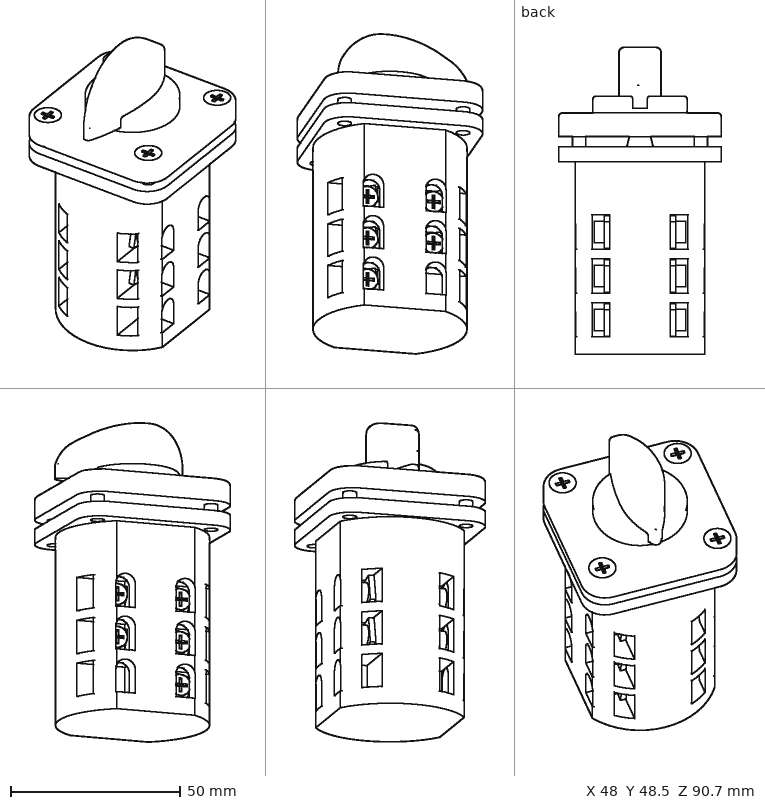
import cadquery as cq
import math

PLATE_SIDE = 48.0
PLATE_CORNER_RADIUS = 7.3
LOWER_PLATE_BOTTOM = 56.9
LOWER_PLATE_TOP = 61.3
PANEL_BOTTOM = 64.3
PANEL_TOP = 71.3
PANEL_EDGE_RADIUS = 1.1

BARREL_RADIUS = 22.8
FLAT_DISTANCE = 19.15
SPINDLE_BASE_RADIUS = 3.9
SPINDLE_TOP_RADIUS = 3.2

LEVEL_BOTTOMS = [5.2 + level * 13.0 for level in range(3)]
CHAMBER_HEIGHT = 10.1
CHAMBER_INNER_X = 8.9
WINDOW_OUTER_X = 14.2
WINDOW_INNER_Y = 5.8
POCKET_INNER_Y = 6.4
POCKET_OUTER_Y = 12.5

CLAMP_SIDE = 8.0
CLAMP_OUTER_X = 10.6
CLAMP_TILT = 13.0
TERMINAL_Y = 10.0
TERMINAL_HEAD_RADIUS = 3.2
TERMINAL_HEAD_OUTER_X = 13.5

CROSS_LENGTH = 4.2
CROSS_WIDTH = 0.8
CROSS_DEPTH = 0.6
CROSS_TAPER = 30.0

SCREW_SPACING = 35.9
SCREW_HEAD_RADIUS = 4.0
SCREW_HEAD_HEIGHT = 3.0
SCREW_SHANK_RADIUS = 2.0

KNOB_BASE_RADIUS = 14.0
KNOB_BASE_TOP = 76.3
KNOB_BASE_EDGE_RADIUS = 1.1
HANDLE_BOTTOM = 72.7
HANDLE_TOP = 90.7
HANDLE_HALF_WIDTH = 6.3
HANDLE_EDGE_RADIUS = 1.45
LEAF_BACK_Y = 16.6
LEAF_FRONT_Y = -26.4
HUMP_BACK_RADIUS = 12.1
HUMP_PEAK_Y = 3.7
HUMP_SHOULDER = (-16.2, 85.5)
HUMP_NOSE = (-21.5, 81.85)
HUMP_FRONT = (-25.0, 74.4)


def plate(bottom, top):
    """A square plate with rounded corners between two heights."""
    blank = cq.Workplane("XY", origin=(0, 0, bottom)).rect(PLATE_SIDE, PLATE_SIDE).extrude(top - bottom)
    return blank.edges("|Z").fillet(PLATE_CORNER_RADIUS)


def cross_recess(face):
    """A tapered cross sunk below the given workplane."""
    arm = face.rect(CROSS_LENGTH, CROSS_WIDTH).extrude(-CROSS_DEPTH, taper=CROSS_TAPER)
    other_arm = face.rect(CROSS_WIDTH, CROSS_LENGTH).extrude(-CROSS_DEPTH, taper=CROSS_TAPER)
    return arm.union(other_arm)


def mirrored_to(shape, side_x, side_y):
    """Moves a shape from the +X, +Y corner to the corner with the given signs."""
    if side_x < 0:
        shape = shape.mirror("YZ")
    if side_y < 0:
        shape = shape.mirror("XZ")
    return shape


def chamber(bottom):
    """An arched pocket from the +X flat that meets a rectangular window from the +Y side."""
    top = bottom + CHAMBER_HEIGHT
    arch_radius = (POCKET_OUTER_Y - POCKET_INNER_Y) / 2
    pocket = (
        cq.Workplane("YZ", origin=(CHAMBER_INNER_X, 0, 0))
        .moveTo(POCKET_INNER_Y, bottom)
        .lineTo(POCKET_OUTER_Y, bottom)
        .lineTo(POCKET_OUTER_Y, top - arch_radius)
        .threePointArc((POCKET_INNER_Y + arch_radius, top), (POCKET_INNER_Y, top - arch_radius))
        .close()
        .extrude(BARREL_RADIUS - CHAMBER_INNER_X)
    )
    window = cq.Workplane("XY").box(
        WINDOW_OUTER_X - CHAMBER_INNER_X,
        BARREL_RADIUS - WINDOW_INNER_Y,
        CHAMBER_HEIGHT,
        centered=False,
    )
    return pocket.union(window.translate((CHAMBER_INNER_X, WINDOW_INNER_Y, bottom)))


def terminal(side_x, side_y, bottom):
    """A clamp plate on the inner chamber wall, with its screw head facing outwards."""
    centre = cq.Vector(CHAMBER_INNER_X, side_y * TERMINAL_Y, bottom + CHAMBER_HEIGHT / 2)
    base = cq.Workplane("YZ", origin=centre.toTuple())
    clamp = base.rect(CLAMP_SIDE, CLAMP_SIDE).extrude(CLAMP_OUTER_X - CHAMBER_INNER_X)
    clamp = clamp.rotate(centre, centre + cq.Vector(0.9, 0, 0), -CLAMP_TILT)
    head_reach = TERMINAL_HEAD_OUTER_X - CHAMBER_INNER_X
    head = base.circle(TERMINAL_HEAD_RADIUS).extrude(head_reach)
    head = head.cut(cross_recess(base.workplane(offset=head_reach)))
    return mirrored_to(clamp.union(head), side_x, 1)


def make_housing():
    """Barrel, lower plate, spindle and terminals."""
    barrel = cq.Workplane("XY").circle(BARREL_RADIUS).extrude(LOWER_PLATE_BOTTOM)
    flats = cq.Workplane("XY").rect(2 * FLAT_DISTANCE, 2 * BARREL_RADIUS).extrude(LOWER_PLATE_BOTTOM)
    body = barrel.intersect(flats)
    for level, bottom in enumerate(LEVEL_BOTTOMS):
        for side_x in (-1, 1):
            for side_y in (-1, 1):
                body = body.cut(mirrored_to(chamber(bottom), side_x, side_y))
                if level > 0 or side_y > 0:
                    body = body.union(terminal(side_x, side_y, bottom))
    spindle = (
        cq.Workplane("XY", origin=(0, 0, LOWER_PLATE_TOP))
        .circle(SPINDLE_BASE_RADIUS)
        .workplane(offset=PANEL_BOTTOM - LOWER_PLATE_TOP)
        .circle(SPINDLE_TOP_RADIUS)
        .loft()
    )
    return body.union(plate(LOWER_PLATE_BOTTOM, LOWER_PLATE_TOP)).union(spindle)


def screw_blank():
    """A panel screw on the Z axis, without its cross recess."""
    shank = (
        cq.Workplane("XY", origin=(0, 0, LOWER_PLATE_BOTTOM))
        .circle(SCREW_SHANK_RADIUS)
        .extrude(PANEL_TOP - LOWER_PLATE_BOTTOM)
    )
    head = cq.Workplane("XY", origin=(0, 0, PANEL_TOP)).circle(SCREW_HEAD_RADIUS).extrude(-SCREW_HEAD_HEIGHT)
    return shank.union(head)


def bulge_middle(end_y):
    """Midpoint of the arc that starts at the handle's widest place, along Y, and ends at (0, end_y)."""
    radius = (end_y**2 + HANDLE_HALF_WIDTH**2) / (2 * HANDLE_HALF_WIDTH)
    half_angle = math.asin(end_y / radius) / 2
    return HANDLE_HALF_WIDTH - radius * (1 - math.cos(half_angle)), radius * math.sin(half_angle)


def handle_leaf():
    """The leaf-shaped plan of the handle, with both ends rounded."""
    back_x, back_y = bulge_middle(LEAF_BACK_Y)
    front_x, front_y = bulge_middle(LEAF_FRONT_Y)
    leaf = (
        cq.Workplane("XY", origin=(0, 0, HANDLE_BOTTOM))
        .moveTo(0, LEAF_BACK_Y)
        .threePointArc((back_x, back_y), (HANDLE_HALF_WIDTH, 0))
        .threePointArc((front_x, front_y), (0, LEAF_FRONT_Y))
        .threePointArc((-front_x, front_y), (-HANDLE_HALF_WIDTH, 0))
        .threePointArc((-back_x, back_y), (0, LEAF_BACK_Y))
        .close()
        .extrude(HANDLE_TOP + HANDLE_EDGE_RADIUS - HANDLE_BOTTOM)
    )
    return leaf.edges("|Z and (<Y or >Y)").fillet(HANDLE_EDGE_RADIUS)


def handle_hump():
    """The side outline of the handle, wider than the leaf and reaching below it."""
    back_y = HUMP_PEAK_Y + HUMP_BACK_RADIUS
    back_centre_z = HANDLE_TOP - HUMP_BACK_RADIUS
    diagonal = HUMP_BACK_RADIUS * math.sqrt(0.5)
    return (
        cq.Workplane("YZ")
        .moveTo(back_y, PANEL_TOP)
        .lineTo(back_y, back_centre_z)
        .threePointArc((HUMP_PEAK_Y + diagonal, back_centre_z + diagonal), (HUMP_PEAK_Y, HANDLE_TOP))
        .tangentArcPoint(HUMP_SHOULDER, relative=False)
        .threePointArc(HUMP_NOSE, HUMP_FRONT)
        .lineTo(HUMP_FRONT[0], PANEL_TOP)
        .close()
        .extrude(2 * HANDLE_HALF_WIDTH, both=True)
    )


def make_handle():
    """The leaf cut to the hump, with its upper rim rounded."""
    sharp = handle_leaf().intersect(handle_hump())
    rim = [
        edge
        for edge in sharp.edges().vals()
        if edge.BoundingBox().zmin > HANDLE_BOTTOM + HANDLE_EDGE_RADIUS and edge.geomType() != "LINE"
    ]
    return sharp.newObject(rim).fillet(HANDLE_EDGE_RADIUS)


def make_front_panel():
    """Upper plate with the knob base and handle."""
    panel = plate(PANEL_BOTTOM, PANEL_TOP).faces(">Z").edges().fillet(PANEL_EDGE_RADIUS)
    knob_base = cq.Workplane("XY", origin=(0, 0, PANEL_TOP)).circle(KNOB_BASE_RADIUS)
    knob_base = knob_base.extrude(KNOB_BASE_TOP - PANEL_TOP)
    knob_base = knob_base.faces(">Z").edges().fillet(KNOB_BASE_EDGE_RADIUS)
    return panel.union(knob_base).union(make_handle())


housing = make_housing()
front_panel = make_front_panel()
panel_screws = []
for side_x in (-1, 1):
    for side_y in (-1, 1):
        place = (side_x * SCREW_SPACING / 2, side_y * SCREW_SPACING / 2, 0)
        blank = screw_blank().translate(place)
        housing = housing.cut(blank)
        front_panel = front_panel.cut(blank)
        recess = cross_recess(cq.Workplane("XY", origin=(0, 0, PANEL_TOP)))
        panel_screws.append(blank.cut(recess.translate(place)).val())

result = cq.Compound.makeCompound([housing.val(), front_panel.val(), *panel_screws])